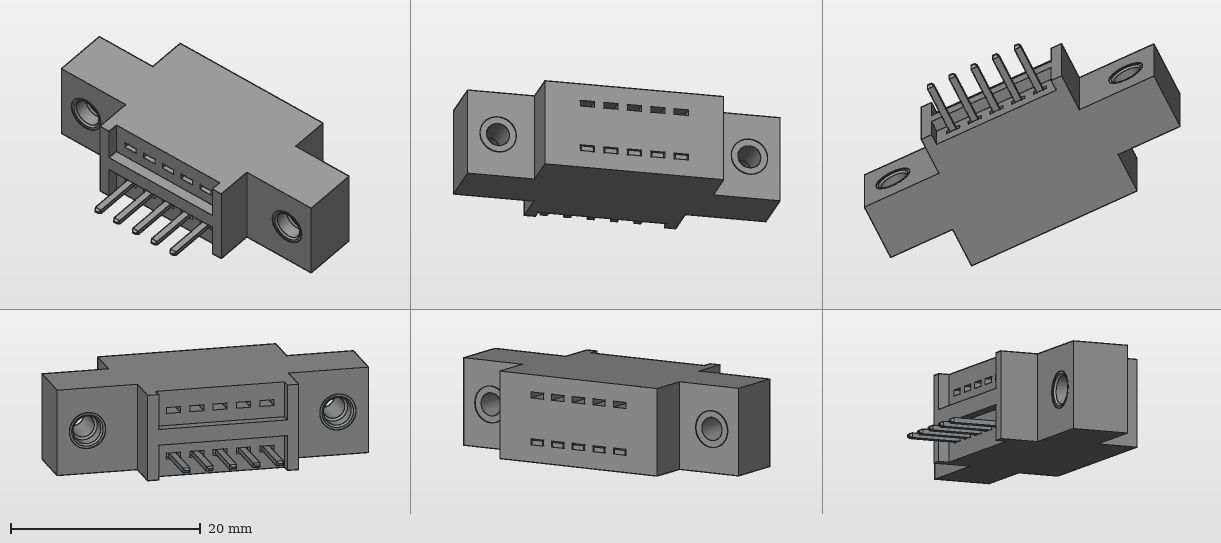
import cadquery as cq


HEIGHT = 9.4
FLANGE_WIDTH = 33.9
FRONT_WIDTH = 16.45
REAR_WIDTH = 19.4
FRONT_DEPTH = 4.27
FLANGE_DEPTH = 6.35
REAR_DEPTH = 4.58
FLANGE_START = FRONT_DEPTH
REAR_START = FLANGE_START + FLANGE_DEPTH
HOUSING_DEPTH = REAR_START + REAR_DEPTH

RECESS_WIDTH = 14.0
RECESS_DEPTH = 1.22
RIB_HEIGHT = 1.73
RECESS_HEIGHT = (HEIGHT - RIB_HEIGHT) / 2

CONTACT_COUNT = 5
CONTACT_PITCH = 2.55
SLOT_WIDTH = 1.53
SLOT_HEIGHT = 0.65
SLOT_ROW_Z = 2.5
CONTACT_XS = [(i - (CONTACT_COUNT - 1) / 2) * CONTACT_PITCH for i in range(CONTACT_COUNT)]

PIN_WIDTH = 0.75
CONTACT_THICKNESS = 0.5
PIN_REACH = 4.48
TIP_LENGTH = 0.3
TIP_WIDTH = 0.45
TIP_THICKNESS = 0.17
BLADE_WIDTH = 1.3
SHOULDER_LENGTH = 0.58
SHOULDER_SETBACK = 0.6
SHOULDER_START = RECESS_DEPTH + SHOULDER_SETBACK
BLADE_START = SHOULDER_START + SHOULDER_LENGTH
CONTACT_Z = -SLOT_ROW_Z - (SLOT_HEIGHT - CONTACT_THICKNESS) / 2

MOUNT_X = 13.63
BUSHING_DIAMETER = 3.95
BUSHING_SETBACK = 0.1
BUSHING_LENGTH = FLANGE_DEPTH - 2 * BUSHING_SETBACK
MOUTH_DIAMETER = 3.42
MOUTH_CHAMFER = 0.2
COUNTERBORE_DIAMETER = MOUTH_DIAMETER - 2 * MOUTH_CHAMFER
BORE_DIAMETER = 2.48
COUNTERBORE_DEPTH = 1.7
CONE_LENGTH = 0.17


def block(width, depth, height, start_y, centre_x=0.0, centre_z=0.0):
    """Box centred in X and Z on the given point, running towards +Y from start_y."""
    return cq.Workplane("XY").box(width, depth, height, centered=(True, False, True)).translate(
        (centre_x, start_y, centre_z)
    )


def make_housing():
    body = block(FRONT_WIDTH, HOUSING_DEPTH, HEIGHT, 0)
    body = body.union(block(FLANGE_WIDTH, FLANGE_DEPTH, HEIGHT, FLANGE_START))
    body = body.union(block(REAR_WIDTH, REAR_DEPTH, HEIGHT, REAR_START))

    recess_z = (RIB_HEIGHT + RECESS_HEIGHT) / 2
    for side in (-1, 1):
        body = body.cut(block(RECESS_WIDTH, RECESS_DEPTH, RECESS_HEIGHT, 0, centre_z=side * recess_z))
        for x in CONTACT_XS:
            body = body.cut(block(SLOT_WIDTH, HOUSING_DEPTH, SLOT_HEIGHT, 0, x, side * SLOT_ROW_Z))
        hole = cq.Solid.makeCylinder(
            BUSHING_DIAMETER / 2,
            FLANGE_DEPTH,
            cq.Vector(side * MOUNT_X, FLANGE_START, 0),
            cq.Vector(0, 1, 0),
        )
        body = body.cut(cq.Workplane(hole))
    return body


def make_contact(x):
    half_pin = PIN_WIDTH / 2
    half_blade = BLADE_WIDTH / 2
    tip_base_y = TIP_LENGTH - PIN_REACH
    contact = (
        cq.Workplane("XY")
        .moveTo(-half_pin, tip_base_y)
        .lineTo(half_pin, tip_base_y)
        .lineTo(half_pin, SHOULDER_START)
        .lineTo(half_blade, BLADE_START)
        .lineTo(half_blade, HOUSING_DEPTH)
        .lineTo(-half_blade, HOUSING_DEPTH)
        .lineTo(-half_blade, BLADE_START)
        .lineTo(-half_pin, SHOULDER_START)
        .close()
        .extrude(CONTACT_THICKNESS / 2, both=True)
    )
    tip = (
        cq.Workplane("XZ", origin=(0, tip_base_y, 0))
        .rect(PIN_WIDTH, CONTACT_THICKNESS)
        .workplane(offset=TIP_LENGTH)
        .rect(TIP_WIDTH, TIP_THICKNESS)
        .loft()
    )
    return contact.union(tip).translate((x, 0, CONTACT_Z))


def make_bushing(x):
    """Revolved sleeve with a chamfered counterbore that narrows through a cone to the bore."""
    profile = [
        (BUSHING_DIAMETER / 2, 0),
        (BUSHING_DIAMETER / 2, BUSHING_LENGTH),
        (BORE_DIAMETER / 2, BUSHING_LENGTH),
        (BORE_DIAMETER / 2, COUNTERBORE_DEPTH + CONE_LENGTH),
        (COUNTERBORE_DIAMETER / 2, COUNTERBORE_DEPTH),
        (COUNTERBORE_DIAMETER / 2, MOUTH_CHAMFER),
        (MOUTH_DIAMETER / 2, 0),
    ]
    sleeve = cq.Workplane("XY").polyline(profile).close().revolve(360, (0, 0, 0), (0, 1, 0))
    return sleeve.translate((x, FLANGE_START + BUSHING_SETBACK, 0))


housing = make_housing()
contacts = [make_contact(x) for x in CONTACT_XS]
bushings = [make_bushing(side * MOUNT_X) for side in (-1, 1)]

result = cq.Compound.makeCompound(
    [
        housing.val(),
        *[contact.val() for contact in contacts],
        *[bushing.val() for bushing in bushings],
    ]
)